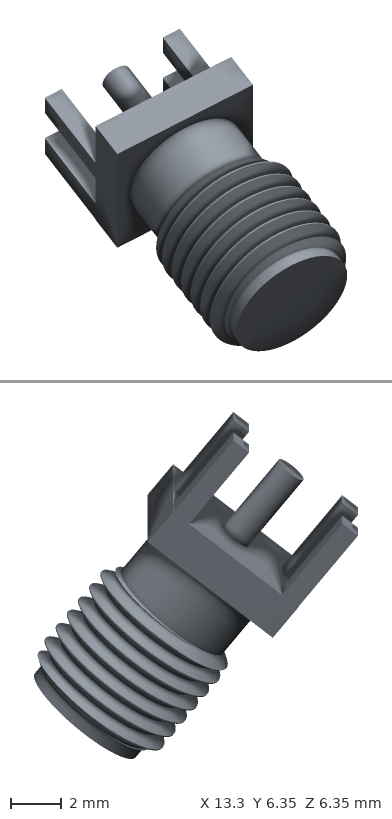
import cadquery as cq

total_length = 13.33
pin_start = 0.28
flange_start = 3.8
flange_end = 5.41
thread_start = 7.81
thread_end = 12.85

flange_side = 6.35
leg_width = 0.8
leg_inset = 0.01
upper_leg_top = 0.63
upper_leg_bottom = -0.4
lower_leg_top = -2.1

pin_diameter = 1.27
body_diameter = 5.2
body_radius = body_diameter / 2

crest_diameter = 6.33
crest_radius = crest_diameter / 2
root_radius = 2.64
ridge_base_radius = 2.61
pitch = 0.7
ridge_base_width = 0.69
crest_width = 0.05
end_chamfer_length = 0.39
envelope_scale = 2
bottom_crest_position = 8.22
lead_in_turns = 2
ridge_turns = 10


def x_cylinder(diameter, start, end):
    """Cylinder on the X axis between two stations."""
    return cq.Workplane("YZ", origin=(start, 0, 0)).circle(diameter / 2).extrude(end - start)


def make_flange():
    length = flange_end - flange_start
    return cq.Workplane("XY").box(length, flange_side, flange_side).translate(
        (flange_start + length / 2, 0, 0)
    )


def make_leg(side, bottom, top):
    """Rectangular leg reaching from X = 0 to the flange, on the +Y or -Y side."""
    center_y = side * (flange_side / 2 - leg_inset - leg_width / 2)
    leg = cq.Workplane("XY").box(flange_start, leg_width, top - bottom)
    return leg.translate((flange_start / 2, center_y, (top + bottom) / 2))


def make_thread_envelope():
    """Oversize drum whose end cones trim the thread down to the body."""
    cone_length = envelope_scale * end_chamfer_length
    drum_radius = body_radius + envelope_scale * (crest_radius - body_radius)
    return (
        cq.Workplane("XY")
        .moveTo(thread_start, 0)
        .lineTo(thread_start, body_radius)
        .lineTo(thread_start + cone_length, drum_radius)
        .lineTo(thread_end - cone_length, drum_radius)
        .lineTo(thread_end, body_radius)
        .lineTo(thread_end, 0)
        .close()
        .revolve(360, (0, 0, 0), (1, 0, 0))
    )


def make_thread():
    """Right-handed helical ridge on a root cylinder, trimmed to the envelope."""
    helix = cq.Wire.makeHelix(pitch, ridge_turns * pitch, ridge_base_radius)
    ridge = (
        cq.Workplane("XZ")
        .moveTo(ridge_base_radius, -ridge_base_width / 2)
        .lineTo(crest_radius, -crest_width / 2)
        .lineTo(crest_radius, crest_width / 2)
        .lineTo(ridge_base_radius, ridge_base_width / 2)
        .close()
        .sweep(cq.Workplane(obj=helix), isFrenet=True)
    )
    ridge = ridge.rotate((0, 0, 0), (0, 1, 0), 90)
    ridge = ridge.translate((bottom_crest_position - lead_in_turns * pitch, 0, 0))
    envelope = make_thread_envelope()
    core = x_cylinder(2 * root_radius, thread_start, thread_end).intersect(envelope)
    return core.union(ridge.intersect(envelope))


result = make_flange()
result = result.union(x_cylinder(pin_diameter, pin_start, flange_start))
for leg_side in (-1, 1):
    result = result.union(make_leg(leg_side, upper_leg_bottom, upper_leg_top))
    result = result.union(make_leg(leg_side, -flange_side / 2, lower_leg_top))
result = result.union(x_cylinder(body_diameter, flange_end, total_length))
result = result.union(make_thread())